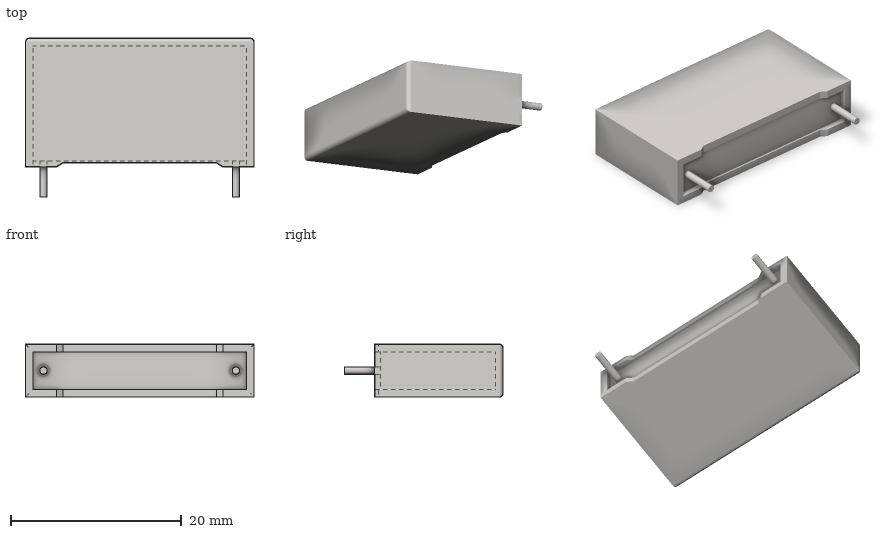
import cadquery as cq

length = 26.8
depth = 15.05
height = 6.22
wall = 0.9
back_edge_radius = 0.5

relief_depth = 0.45
relief_half_length = 9.73
relief_slope_run = 0.72

potting_setback = 0.7

lead_diameter = 0.85
lead_pitch = 22.5
lead_protrusion = 3.55

cavity_length = length - 2 * wall
cavity_height = height - 2 * wall
cavity_depth = depth - wall


def block(x_size, z_size, front, back):
    """Box centred on X and Z that spans front to back along Y."""
    return (
        cq.Workplane("XY")
        .box(x_size, back - front, z_size, centered=(True, False, True))
        .translate((0, front, 0))
    )


def rim_relief():
    """Trapezoidal cutter that passes through both long rims."""
    inner_half_length = relief_half_length - relief_slope_run
    return (
        cq.Workplane("XY")
        .moveTo(-relief_half_length, 0)
        .lineTo(-inner_half_length, relief_depth)
        .lineTo(inner_half_length, relief_depth)
        .lineTo(relief_half_length, 0)
        .close()
        .extrude(height / 2, both=True)
    )


def make_housing():
    """Open box with rounded back edges and a relieved rim."""
    shell = block(length, height, 0, depth).faces(">Y").edges().fillet(back_edge_radius)
    cavity = block(cavity_length, cavity_height, 0, cavity_depth)
    return shell.cut(cavity).cut(rim_relief())


def make_potting():
    """Solid filling of the cavity behind the setback."""
    return block(cavity_length, cavity_height, potting_setback, cavity_depth)


def make_lead(x_position):
    """Straight pin from the potting face out past the rim."""
    return (
        cq.Workplane("XZ", origin=(x_position, potting_setback, 0))
        .circle(lead_diameter / 2)
        .extrude(potting_setback + lead_protrusion)
    )


housing = make_housing()
potting = make_potting()
leads = []
for side in (-1, 1):
    leads.append(make_lead(side * lead_pitch / 2).val())

result = cq.Compound.makeCompound([housing.val(), potting.val(), *leads])